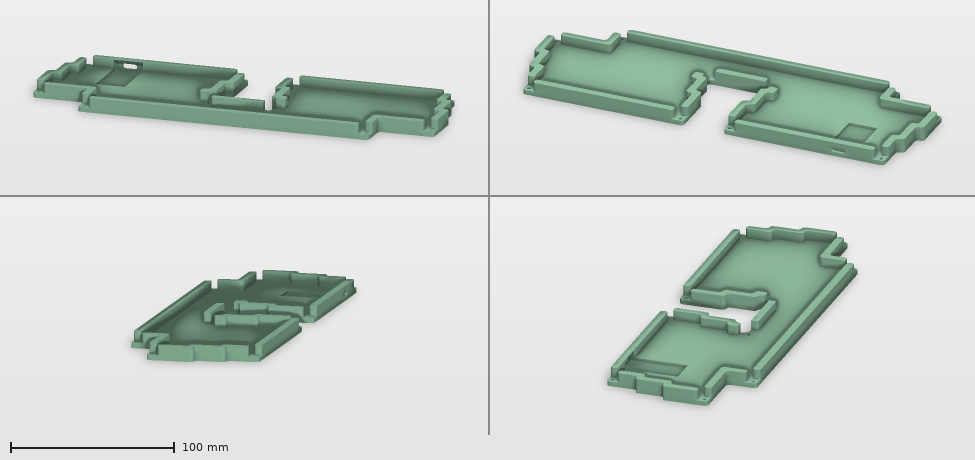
import cadquery as cq
PITCH = 19.05
ROW_TOP = 2 * PITCH
OUTER_COLUMNS = (6 * PITCH, 6.25 * PITCH, 6.5 * PITCH)
INNER_COLUMNS = (1 * PITCH, 1.25 * PITCH, 1.5 * PITCH)
BOTTOM_ROW_HALF = 4.625 * PITCH

CLEARANCE = 1.0
WALL = 4.75
MARGIN = CLEARANCE + WALL
CORNER_RADIUS = 2.35
END_GAP = 7.0
END_RADIUS = 1.75

HEIGHT = 9.25
FLOOR = 3.0

RELIEF_RADIUS = 4.75
RELIEF_INSET = 0.6
FRONT_WALL_HALF = 16.65

HOLE_DIAMETER = 2.45
HOLE_INSET = 3.0
CENTRE_HOLE_X = 1.25 * PITCH
CENTRE_HOLE_DROP = 1.0

BAY_CENTRE_X = -89.75
BAY_WIDTH = 19.0
BAY_FLOOR = 1.25
BAY_FRONT_Y = 5.1
BAY_SKIN = 1.75
BAY_RADIUS = 1.0
BAY_ROOF = 0.4
SLOT_WIDTH = 9.5
SLOT_HEIGHT = 3.5
SLOT_CENTRE_Z = 4.5

REAR_Y = ROW_TOP + MARGIN
FRONT_Y = -REAR_Y
OPENING_FOOT_Y = -PITCH + MARGIN
RELIEF_Y = OPENING_FOOT_Y + RELIEF_RADIUS
NOTCH_Y = -PITCH - MARGIN
TOLERANCE = 1e-3

LEFT_CORNERS = (
    (-OUTER_COLUMNS[0] - MARGIN, REAR_Y, 1, -1),
    (-INNER_COLUMNS[0] + MARGIN, REAR_Y, -1, -1),
    (-OUTER_COLUMNS[2] - MARGIN, NOTCH_Y, 1, 1),
    (-BOTTOM_ROW_HALF - MARGIN, FRONT_Y, 1, 1),
)
CORNERS = LEFT_CORNERS + tuple((-x, y, -dx, dy) for x, y, dx, dy in LEFT_CORNERS)


def offset_field(margin, step_margin, inner_columns, bottom, height):
    """Prism of the key field grown by margin; the row steps move by step_margin instead."""
    outer = [-x - margin for x in OUTER_COLUMNS]
    inner = [-x + margin for x in inner_columns]
    left = [(inner[-1], -PITCH + margin)]
    for row in range(len(inner) - 1, 0, -1):
        step_y = ROW_TOP - row * PITCH - step_margin
        left += [(inner[row], step_y), (inner[row - 1], step_y)]
    left += [(inner[0], ROW_TOP + margin), (outer[0], ROW_TOP + margin)]
    for row in (1, 2):
        step_y = ROW_TOP - row * PITCH + step_margin
        left += [(outer[row - 1], step_y), (outer[row], step_y)]
    left += [
        (outer[2], -PITCH - margin),
        (-BOTTOM_ROW_HALF - margin, -PITCH - margin),
        (-BOTTOM_ROW_HALF - margin, -ROW_TOP - margin),
    ]
    right = [(-x, y) for x, y in reversed(left)]
    prism = cq.Workplane("XY").workplane(offset=bottom).polyline(left + right).close()
    return prism.extrude(height)


def box(x0, x1, y0, y1, z0, z1):
    """Box between two opposite corners."""
    size = (abs(x1 - x0), abs(y1 - y0), z1 - z0)
    centre = ((x0 + x1) / 2, (y0 + y1) / 2, (z0 + z1) / 2)
    return cq.Workplane("XY").box(*size).translate(centre)


def is_not_at_foot(edge):
    """True for upright edges away from the foot of the central opening."""
    return abs(edge.Center().y - OPENING_FOOT_Y) > TOLERANCE


def make_body(bottom, height):
    """Outer outline with rounded corners and the round reliefs of the central opening."""
    body = offset_field(MARGIN, WALL, INNER_COLUMNS[:2], bottom, height)
    body = body.edges("|Z").filter(is_not_at_foot).fillet(CORNER_RADIUS)
    relief_x = INNER_COLUMNS[1] - MARGIN - RELIEF_INSET
    relief = (
        cq.Workplane("XY")
        .workplane(offset=bottom)
        .pushPoints([(-relief_x, RELIEF_Y), (relief_x, RELIEF_Y)])
        .circle(RELIEF_RADIUS)
        .extrude(height)
    )
    return body.cut(relief)


def is_wall_end(edge):
    """True for the upright edges at the wall ends that are rounded."""
    x, y, _ = edge.Center().toTuple()
    for corner_x, corner_y, dx, dy in CORNERS:
        u = (x - corner_x) * dx
        v = (y - corner_y) * dy
        if min(u, v) > -TOLERANCE and abs(max(u, v) - END_GAP) < TOLERANCE:
            return True
    at_foot = abs(abs(x) - FRONT_WALL_HALF) < TOLERANCE and abs(y - OPENING_FOOT_Y + WALL) < TOLERANCE
    relief_end_x = INNER_COLUMNS[2] - CLEARANCE
    at_relief = abs(abs(x) - relief_end_x) < TOLERANCE and abs(y - RELIEF_Y) < TOLERANCE
    return at_foot or at_relief


def make_walls():
    """Wall ring above the floor, interrupted at the screws, with rounded wall ends."""
    rise = HEIGHT - FLOOR
    cavity = offset_field(CLEARANCE, CLEARANCE, INNER_COLUMNS, FLOOR, rise)
    walls = make_body(FLOOR, rise).cut(cavity.edges("|Z").fillet(CORNER_RADIUS))
    for x, y, dx, dy in CORNERS:
        walls = walls.cut(box(x, x + dx * END_GAP, y, y + dy * END_GAP, FLOOR, HEIGHT))
    gap_front = OPENING_FOOT_Y - 2 * WALL
    gap_side = 2 * PITCH
    for side in (-1, 1):
        gap = box(side * FRONT_WALL_HALF, side * gap_side, gap_front, RELIEF_Y, FLOOR, HEIGHT)
        walls = walls.cut(gap)
    return walls.edges("|Z").filter(is_wall_end).fillet(END_RADIUS)


def cut_holes(part):
    """Screw holes through the outer corners and beside the foot of the opening."""
    points = [(x + dx * HOLE_INSET, y + dy * HOLE_INSET) for x, y, dx, dy in CORNERS]
    points += [(side * CENTRE_HOLE_X, OPENING_FOOT_Y - CENTRE_HOLE_DROP) for side in (-1, 1)]
    holes = cq.Workplane("XY").pushPoints(points).circle(HOLE_DIAMETER / 2).extrude(HEIGHT)
    return part.cut(holes)


def cut_connector_bay(part):
    """Floor pocket, its niche under a 45 degree roof, and the slot through the rear wall."""
    x0 = BAY_CENTRE_X - BAY_WIDTH / 2
    x1 = BAY_CENTRE_X + BAY_WIDTH / 2
    rear = REAR_Y - BAY_SKIN
    wall_face = REAR_Y - WALL
    bay = box(x0, x1, BAY_FRONT_Y, rear, BAY_FLOOR, HEIGHT).edges("|Z and >Y").fillet(BAY_RADIUS)
    roof_z = HEIGHT - BAY_ROOF
    profile = [
        (BAY_FRONT_Y, BAY_FLOOR),
        (rear, BAY_FLOOR),
        (rear, roof_z - (rear - wall_face)),
        (wall_face, roof_z),
        (BAY_FRONT_Y, roof_z),
    ]
    under_roof = cq.Workplane("YZ").workplane(offset=x0).polyline(profile).close().extrude(BAY_WIDTH)
    slot = (
        cq.Workplane("XZ", origin=(BAY_CENTRE_X, REAR_Y, SLOT_CENTRE_Z))
        .slot2D(SLOT_WIDTH, SLOT_HEIGHT)
        .extrude(WALL)
    )
    return part.cut(bay.intersect(under_roof)).cut(slot)


result = make_body(0, FLOOR).union(make_walls())
result = cut_connector_bay(cut_holes(result))